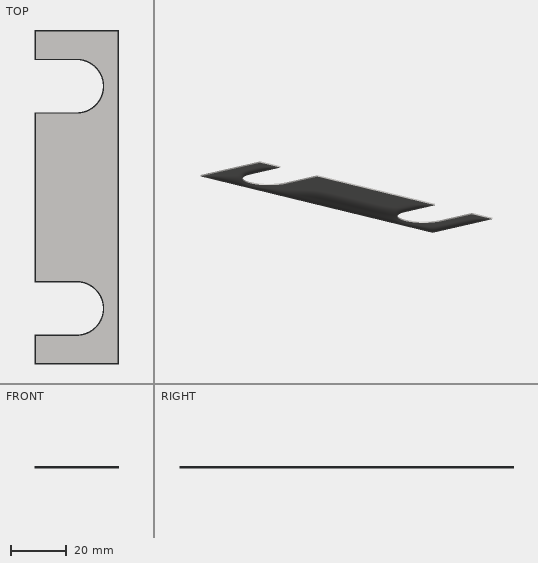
import cadquery as cq

plate_width = 30.0
plate_length = 120.0
thickness = 0.5

slot_width = 19.2
slot_end_inset = 20.0
slot_radius = slot_width / 2
slot_arc_center_x = 0.0
slot_offset_y = plate_length / 2 - slot_end_inset


def make_plate():
    return cq.Workplane("XY").box(plate_width, plate_length, thickness)


def make_slot(center_y):
    """Cutter open at the -X edge, with a half-round closed end."""
    edge_x = -plate_width / 2
    return (
        cq.Workplane("XY")
        .workplane(offset=-thickness / 2)
        .moveTo(edge_x, center_y - slot_radius)
        .lineTo(slot_arc_center_x, center_y - slot_radius)
        .threePointArc(
            (slot_arc_center_x + slot_radius, center_y),
            (slot_arc_center_x, center_y + slot_radius),
        )
        .lineTo(edge_x, center_y + slot_radius)
        .close()
        .extrude(thickness)
    )


result = make_plate()
for side in (-1, 1):
    result = result.cut(make_slot(side * slot_offset_y))